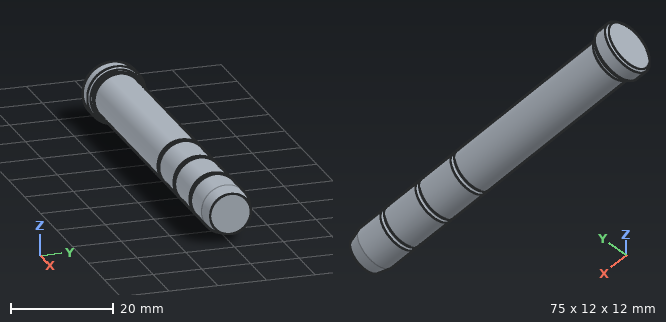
import cadquery as cq
import math

length = 75.0
head_diameter = 12.0
head_thickness = 4.0
head_chamfer = 0.5
shank_diameter = 10.0

taper_length = 3.0
taper_angle = 15.0

groove_radius = 0.5
first_groove_x = 45.0
groove_pitch = 10.0
groove_count = 3

shank_radius = shank_diameter / 2
tip_radius = shank_radius - taper_length * math.tan(math.radians(taper_angle))


def make_head():
    """Disc head with both rims chamfered."""
    disc = cq.Workplane("YZ").circle(head_diameter / 2).extrude(head_thickness)
    return disc.edges("%CIRCLE").chamfer(head_chamfer)


def make_shank():
    """Round shank ending in a conical lead-in."""
    return (
        cq.Workplane("XY")
        .lineTo(0, shank_radius)
        .lineTo(length - taper_length, shank_radius)
        .lineTo(length, tip_radius)
        .lineTo(length, 0)
        .close()
        .revolve(360, (0, 0), (1, 0))
    )


def make_groove(center_x):
    """Ring that cuts a half-round groove into the shank."""
    return (
        cq.Workplane("XY")
        .center(center_x, shank_radius)
        .circle(groove_radius)
        .revolve(360, (0, -shank_radius), (1, -shank_radius))
    )


groove_centers = [head_thickness + groove_radius]
for index in range(groove_count):
    groove_centers.append(first_groove_x + index * groove_pitch)

shank = make_shank()
for center_x in groove_centers:
    shank = shank.cut(make_groove(center_x))

result = make_head().union(shank)